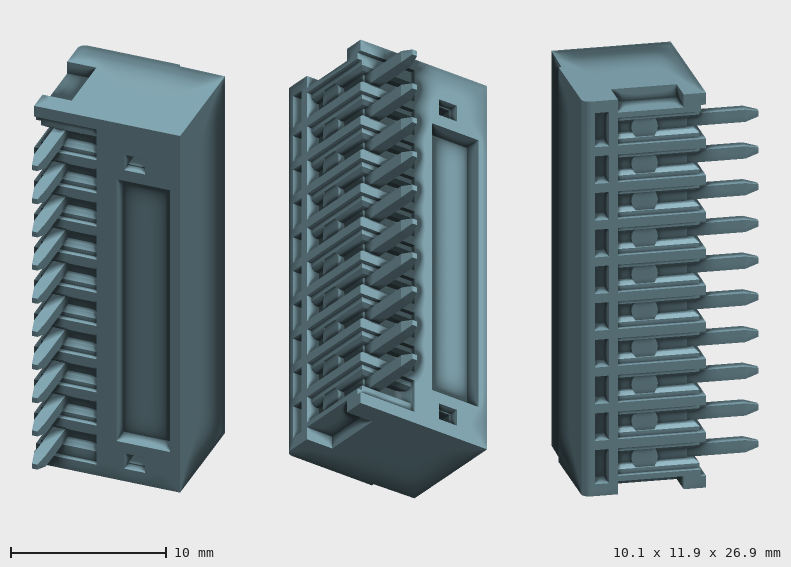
import cadquery as cq


HOUSING_WIDTH = 10.1
HOUSING_DEPTH = 8.12
HOUSING_LENGTH = 26.9
BACK_RADIUS = 0.55
STEP_X = 6.89
STEP_DROP = 0.2
SLOPED_DROP = 0.27

POLE_COUNT = 10
POLE_PITCH = 2.5
POLES_Z = [POLE_PITCH * (i - (POLE_COUNT - 1) / 2) for i in range(POLE_COUNT)]
POLE_SPAN = POLE_PITCH * (POLE_COUNT - 1)

RECESS_DEPTH = 0.35
RECESS_HEIGHT = 1.88
FRONT_RECESS_WIDTH = 4.3
SIDE_RECESS_REACH = 5.8
END_WALL = 0.8
END_GAP = (HOUSING_LENGTH - POLE_SPAN) / 2 - END_WALL

SLOT_HEIGHT = 0.8
SLOT_SIDE_DEPTH = 0.97
SLOT_FRONT_DEPTH = 1.05
SLOT_CORNER_RADIUS = 0.9
MOUTH_HEIGHT = 1.25
MOUTH_DEPTH = 0.27

BOSS_RADIUS = 0.85
BOSS_Y = 3.93
BOSS_FACE_X = 0.5

PIN_WIDTH = 0.8
PIN_HEIGHT = 0.83
PIN_X = 1.53
PIN_LENGTH = 3.77
PIN_TIP_LENGTH = 0.91
PIN_TIP_SIZE = 0.38

WINDOW_Y = 6.4
WINDOW_WIDTH = 0.91
WINDOW_DEPTH = 1.35

NOTCH_WIDTH = 2.02
NOTCH_Y = 1.48
NOTCH_REACH = 4.33
NOTCH_HEIGHT = 0.9

LATCH_ROW_Z = -0.67
POCKET_X = 5.7
POCKET_WIDTH = 3.69
POCKET_LENGTH = 19.75
POCKET_DEPTH = 1.25
LATCH_X = 6.25
LATCH_WIDTH = 1.43
LATCH_HEIGHT = 1.15
LATCH_LEDGE = 0.08
LATCH_LEDGE_DEPTH = 0.67
LATCH_DEPTH = 1.61
LATCH_STEP_HEIGHT = 0.25
LATCH_STEP_DEPTH = 2.15


def block(x, y, z):
    """Box between the (low, high) limits given for each axis."""
    size = [high - low for low, high in (x, y, z)]
    return cq.Workplane("XY").box(*size, centered=False).translate((x[0], y[0], z[0]))


def around(center, size):
    """Limits of a span centred on a point."""
    return (center - size / 2, center + size / 2)


def pole_limits(z):
    """Recess limits of one pole; the end poles reach out to the end walls."""
    bottom, top = around(z, RECESS_HEIGHT)
    if z == POLES_Z[0]:
        bottom = z - END_GAP
    if z == POLES_Z[-1]:
        top = z + END_GAP
    return (bottom, top)


def housing():
    body = (
        cq.Workplane("XY")
        .workplane(offset=-HOUSING_LENGTH / 2)
        .polyline([
            (0, 0),
            (HOUSING_WIDTH, 0),
            (HOUSING_WIDTH, HOUSING_DEPTH - SLOPED_DROP),
            (STEP_X, HOUSING_DEPTH - STEP_DROP),
            (STEP_X, HOUSING_DEPTH),
            (0, HOUSING_DEPTH),
        ])
        .close()
        .extrude(HOUSING_LENGTH)
    )
    return body.edges("|Z and <X and >Y").fillet(BACK_RADIUS)


def slot_profile(height):
    """L-shaped slot along the front and the left side, rounded at its right end."""
    front_arm = (
        block((0, FRONT_RECESS_WIDTH), (0, SLOT_FRONT_DEPTH), around(0, height))
        .edges("|Z and >X and >Y")
        .fillet(SLOT_CORNER_RADIUS)
    )
    side_arm = block((0, SLOT_SIDE_DEPTH), (0, SIDE_RECESS_REACH), around(0, height))
    return front_arm.union(side_arm)


def mouth_outline(plane):
    """Trapezoid across the slot mouth, narrowing from the recess floor to the slot."""
    inner = RECESS_DEPTH + MOUTH_DEPTH
    return (
        cq.Workplane(plane)
        .polyline([
            (RECESS_DEPTH, -MOUTH_HEIGHT / 2),
            (inner, -SLOT_HEIGHT / 2),
            (inner, SLOT_HEIGHT / 2),
            (RECESS_DEPTH, MOUTH_HEIGHT / 2),
        ])
        .close()
    )


def boss_cylinder(x_start, x_end):
    """Length of the boss, flattened at the height of the slot mouth."""
    cylinder = (
        cq.Workplane("YZ")
        .workplane(offset=x_start)
        .center(BOSS_Y, 0)
        .circle(BOSS_RADIUS)
        .extrude(x_end - x_start)
    )
    return cylinder.intersect(
        block((x_start, x_end), around(BOSS_Y, 2 * BOSS_RADIUS), around(0, MOUTH_HEIGHT))
    )


def contact_slot():
    """Everything removed from one recess floor for the slot, its chamfers and the boss seat."""
    front_chamfer = mouth_outline("YZ").extrude(FRONT_RECESS_WIDTH)
    side_chamfer = mouth_outline("XZ").extrude(-SIDE_RECESS_REACH)
    chamfers = front_chamfer.union(side_chamfer).intersect(slot_profile(MOUTH_HEIGHT))
    slot = slot_profile(SLOT_HEIGHT).union(chamfers)
    return (
        slot.cut(boss_cylinder(BOSS_FACE_X, SLOT_SIDE_DEPTH))
        .union(boss_cylinder(RECESS_DEPTH, BOSS_FACE_X))
    )


def pin():
    shaft_end = PIN_LENGTH - PIN_TIP_LENGTH
    shaft = block(around(PIN_X, PIN_WIDTH), (-shaft_end, SLOT_FRONT_DEPTH), around(0, PIN_HEIGHT))
    tip = (
        cq.Workplane("XZ", origin=(PIN_X, -shaft_end, 0))
        .rect(PIN_WIDTH, PIN_HEIGHT)
        .workplane(offset=PIN_TIP_LENGTH)
        .rect(PIN_TIP_SIZE, PIN_TIP_SIZE)
        .loft()
    )
    return shaft.union(tip)


def end_notch(end):
    z_limits = sorted((end * HOUSING_LENGTH / 2, end * (HOUSING_LENGTH / 2 - NOTCH_HEIGHT)))
    return block((0, NOTCH_WIDTH), (NOTCH_Y, NOTCH_Y + NOTCH_REACH), z_limits)


def latch_window(z):
    """Window with a narrower inner opening, whose top part runs deeper."""
    outer_z = around(z, LATCH_HEIGHT)
    inner_z = around(z, LATCH_HEIGHT - 2 * LATCH_LEDGE)
    inner_x = (LATCH_X, LATCH_X + LATCH_WIDTH - LATCH_LEDGE)
    step_z = (inner_z[1] - LATCH_STEP_HEIGHT, inner_z[1])
    return (
        block((LATCH_X, LATCH_X + LATCH_WIDTH), (0, LATCH_LEDGE_DEPTH), outer_z)
        .union(block(inner_x, (0, LATCH_DEPTH), inner_z))
        .union(block(inner_x, (0, LATCH_STEP_DEPTH), step_z))
    )


result = housing()

slot_cutter = contact_slot()
pole_pin = pin()
for pole_z in POLES_Z:
    limits = pole_limits(pole_z)
    front_recess = block((0, FRONT_RECESS_WIDTH), (0, RECESS_DEPTH), limits)
    side_recess = block((0, RECESS_DEPTH), (0, SIDE_RECESS_REACH), around(pole_z, RECESS_HEIGHT))
    window = block((0, WINDOW_DEPTH), (WINDOW_Y, WINDOW_Y + WINDOW_WIDTH), limits)
    result = result.cut(front_recess).cut(side_recess).cut(window)
    result = result.cut(slot_cutter.translate((0, 0, pole_z)))
    result = result.union(pole_pin.translate((0, 0, pole_z)))

for end in (-1, 1):
    result = result.cut(end_notch(end))
    result = result.cut(latch_window(LATCH_ROW_Z + end * POLE_SPAN / 2))

result = result.cut(
    block((POCKET_X, POCKET_X + POCKET_WIDTH), (0, POCKET_DEPTH), around(LATCH_ROW_Z, POCKET_LENGTH))
)